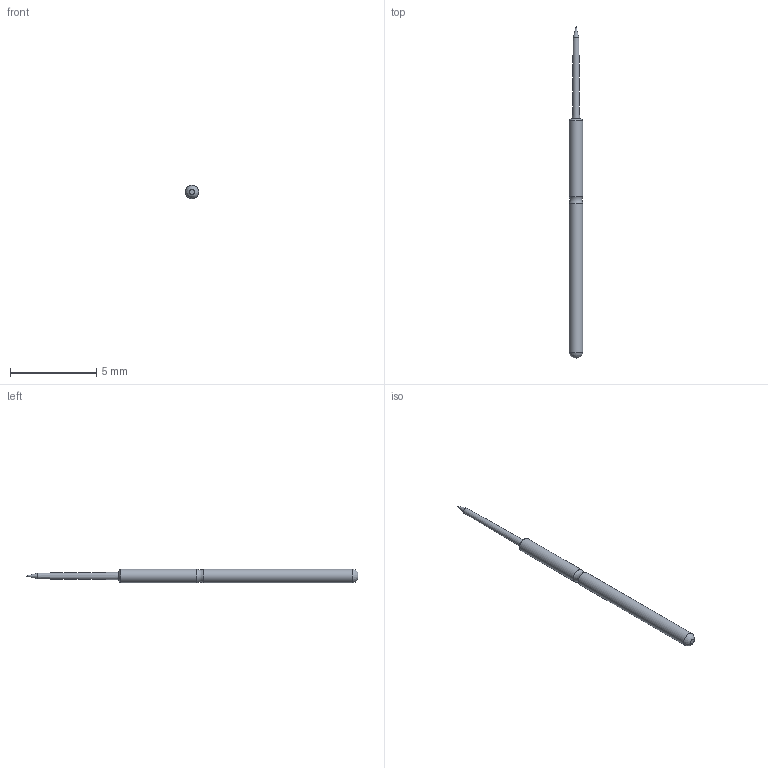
import cadquery as cq


total_length = 19.3
barrel_radius = 0.4
barrel_length = 13.9

nose_length = 0.1
nose_arc_radius = 0.2

tail_length = 0.3
tail_flat_radius = 0.15
tail_arc_radius = 0.4

crimp_start = 8.98
crimp_width = 0.4
crimp_depth = 0.05

plunger_base_radius = 0.21
plunger_front_radius = 0.168
tip_length = 0.65

crimp_middle = crimp_start + crimp_width / 2
crimp_end = crimp_start + crimp_width
tip_start = total_length - tip_length


def half_profile():
    """Outline of the half section: the first coordinate runs along Y, the second is the radius."""
    return (
        cq.Workplane("YZ")
        .moveTo(0, 0)
        .lineTo(0, tail_flat_radius)
        .radiusArc((tail_length, barrel_radius), tail_arc_radius)
        .lineTo(crimp_start, barrel_radius)
        .threePointArc((crimp_middle, barrel_radius - crimp_depth), (crimp_end, barrel_radius))
        .lineTo(barrel_length - nose_length, barrel_radius)
        .radiusArc((barrel_length, plunger_base_radius), nose_arc_radius)
        .lineTo(tip_start, plunger_front_radius)
        .lineTo(total_length, 0)
        .close()
    )


result = half_profile().revolve(360, (0, 0, 0), (1, 0, 0))